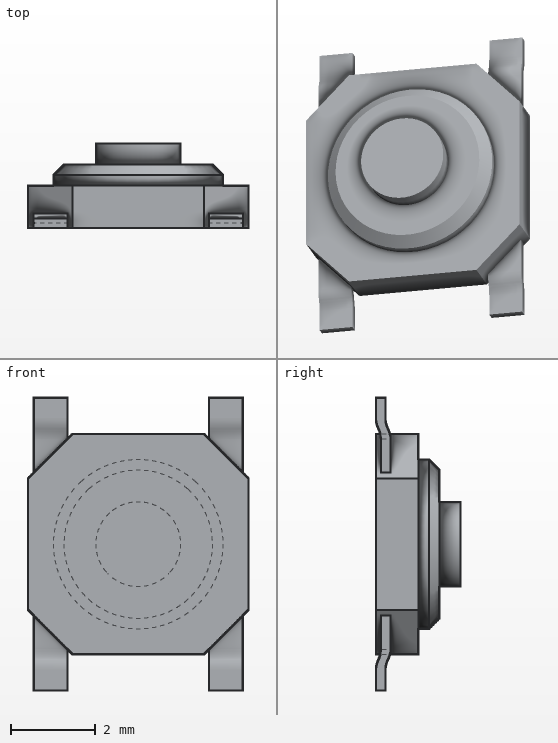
import cadquery as cq
import math

overall_depth = 2.0
overall_height = 6.91

body_side = 5.2
body_depth = 1.0
corner_cut = 1.05

collar_radius = 2.0
collar_depth = 0.5
collar_chamfer = collar_depth / 2
button_radius = 1.0

lead_width = 0.8
lead_thickness = 0.23
lead_spacing = 4.13
lead_embedding = 0.2
foot_length = 0.49
bend_radius = 0.53
bend_angle = math.radians(25)
slope_length = 0.04

bend_length = bend_radius * math.sin(bend_angle)
bend_rise = bend_radius * (1 - math.cos(bend_angle))
lead_step = 2 * bend_rise + slope_length * math.tan(bend_angle)

front_y = -overall_depth / 2
body_middle_y = front_y + body_depth / 2
body_back_y = front_y + body_depth
collar_back_y = body_back_y + collar_depth
button_back_y = front_y + overall_depth


def make_body():
    """Octagonal housing."""
    return (
        cq.Workplane("XY")
        .box(body_side, body_depth, body_side)
        .edges("|Y")
        .chamfer(corner_cut)
        .translate((0, body_middle_y, 0))
    )


def make_collar_and_button():
    """Chamfered collar and button, turned about Y."""
    return (
        cq.Workplane("YZ")
        .moveTo(body_middle_y, 0)
        .lineTo(body_middle_y, collar_radius)
        .lineTo(collar_back_y - collar_chamfer, collar_radius)
        .lineTo(collar_back_y, collar_radius - collar_chamfer)
        .lineTo(collar_back_y, button_radius)
        .lineTo(button_back_y, button_radius)
        .lineTo(button_back_y, 0)
        .close()
        .revolve(360, (0, 0, 0), (1, 0, 0))
    )


def make_lead():
    """Lead at +X +Z: a foot flush with the base, two opposite bends and an inner run."""
    lead_outer_x = (lead_spacing + lead_width) / 2
    tip_z = overall_height / 2
    foot_end_z = tip_z - foot_length
    slope_start_z = foot_end_z - bend_length
    slope_end_z = slope_start_z - slope_length
    run_start_z = slope_end_z - bend_length
    corner_entry_z = body_side - corner_cut - lead_outer_x
    inner_end_z = corner_entry_z - lead_embedding

    mid_bend_z = bend_radius * math.sin(bend_angle / 2)
    mid_bend_y = bend_radius * (1 - math.cos(bend_angle / 2))

    outer_foot_y = front_y
    outer_run_y = front_y + lead_step
    inner_foot_y = outer_foot_y + lead_thickness
    inner_run_y = outer_run_y + lead_thickness

    return (
        cq.Workplane("YZ")
        .moveTo(outer_foot_y, tip_z)
        .lineTo(outer_foot_y, foot_end_z)
        .threePointArc(
            (outer_foot_y + mid_bend_y, foot_end_z - mid_bend_z),
            (outer_foot_y + bend_rise, slope_start_z),
        )
        .lineTo(outer_run_y - bend_rise, slope_end_z)
        .threePointArc(
            (outer_run_y - mid_bend_y, run_start_z + mid_bend_z),
            (outer_run_y, run_start_z),
        )
        .lineTo(outer_run_y, inner_end_z)
        .lineTo(inner_run_y, inner_end_z)
        .lineTo(inner_run_y, run_start_z)
        .threePointArc(
            (inner_run_y - mid_bend_y, run_start_z + mid_bend_z),
            (inner_run_y - bend_rise, slope_end_z),
        )
        .lineTo(inner_foot_y + bend_rise, slope_start_z)
        .threePointArc(
            (inner_foot_y + mid_bend_y, foot_end_z - mid_bend_z),
            (inner_foot_y, foot_end_z),
        )
        .lineTo(inner_foot_y, tip_z)
        .close()
        .extrude(lead_width / 2, both=True)
        .translate((lead_spacing / 2, 0, 0))
    )


upper_lead = make_lead()
result = make_body().union(make_collar_and_button())
for lead in (upper_lead, upper_lead.mirror("YZ")):
    result = result.union(lead).union(lead.mirror("XY"))